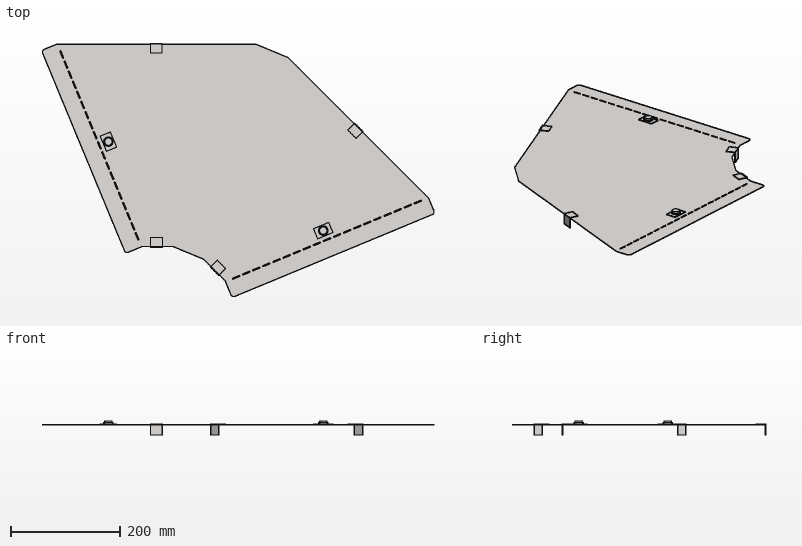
import cadquery as cq
import math

TURN = 22.5
SLOPE = math.tan(math.radians(TURN))

SHEET_THICKNESS = 1.0
END_INNER = 149.0
END_OUTER = 552.0
INNER_FLAT = 34.0
OUTER_FLAT = 30.0
INNER_BEND = 85.0
OUTER_BEND = 367.5
CORNER_RADIUS = 6.0

END_MIDDLE = (END_INNER + END_OUTER) / 2
SLOT_OFFSET = 31.5
SLOT_WIDTH = 1.5
SLOT_LENGTH = 14.0
SLOT_COUNT = 19
SLOT_ROW_SPAN = 360.5

CLIP_THICKNESS = 1.5
CLIP_WIDTH = 21.5
CLIP_FLANGE = 18.0
CLIP_HEIGHT = 21.0
OUTER_CLIP_U = 199.0
INNER_CLIP_U = 57.5

LATCH_OFFSET = 49.5
BASE_WIDTH = 20.0
BASE_LENGTH = 30.0
BASE_THICKNESS = 1.5
KNOB_FLANGE_DIAMETER = 17.0
KNOB_FLANGE_HEIGHT = 2.0
KNOB_TOP_DIAMETER = 14.0
KNOB_TOP_HEIGHT = 3.15


def inner_edge(u):
    """v of the sloping inner edge of the cover."""
    return END_INNER - (u - INNER_FLAT) * SLOPE


def outer_edge(u):
    """v of the sloping outer edge of the cover."""
    return END_OUTER - (u - OUTER_FLAT) * SLOPE


def turned(body, angle):
    return body.rotate((0, 0, 0), (0, 0, 1), angle)


def mirrored(body):
    """Copy of a body reflected in the diagonal u = v."""
    return turned(body.mirror("YZ"), -90)


def make_slot_row():
    pitch = SLOT_ROW_SPAN / (SLOT_COUNT - 1)
    return (
        cq.Workplane("XY")
        .center(SLOT_OFFSET, END_MIDDLE)
        .rarray(SLOT_WIDTH, pitch, 1, SLOT_COUNT)
        .rect(SLOT_WIDTH, SLOT_LENGTH)
        .extrude(-SHEET_THICKNESS)
    )


def make_cover():
    half_outline = [
        (INNER_BEND, inner_edge(INNER_BEND)),
        (INNER_FLAT, END_INNER),
        (0, END_INNER),
        (0, END_OUTER),
        (OUTER_FLAT, END_OUTER),
        (OUTER_BEND, outer_edge(OUTER_BEND)),
    ]
    outline = half_outline + [(v, u) for u, v in reversed(half_outline)]
    sheet = cq.Workplane("XY").polyline(outline).close().extrude(-SHEET_THICKNESS)

    end_corners = [(u, v, 0) for u, v in outline if u == 0 or v == 0]
    for corner in end_corners:
        upright = sheet.edges("|Z").edges(cq.NearestToPointSelector(corner))
        sheet = upright.fillet(CORNER_RADIUS)

    slot_row = make_slot_row()
    for row in (slot_row, mirrored(slot_row)):
        sheet = sheet.cut(row)
    return sheet


def make_clip(u, v, facing):
    """Clip centred at (u, v) on a sloping edge; facing 0 hangs its leg outward, 180 inward."""
    flange_end = CLIP_THICKNESS - CLIP_FLANGE
    leg_end = CLIP_THICKNESS - CLIP_HEIGHT
    profile = [
        (0, 0),
        (flange_end, 0),
        (flange_end, CLIP_THICKNESS),
        (CLIP_THICKNESS, CLIP_THICKNESS),
        (CLIP_THICKNESS, leg_end),
        (0, leg_end),
    ]
    clip = cq.Workplane("YZ").polyline(profile).close().extrude(CLIP_WIDTH / 2, both=True)
    return turned(clip, facing - TURN).translate((u, v, 0))


def make_latch_base():
    return (
        cq.Workplane("XY")
        .center(LATCH_OFFSET, END_MIDDLE)
        .rect(BASE_WIDTH, BASE_LENGTH)
        .extrude(BASE_THICKNESS)
    )


def make_latch_knob():
    flange = (
        cq.Workplane("XY", origin=(LATCH_OFFSET, END_MIDDLE, BASE_THICKNESS))
        .circle(KNOB_FLANGE_DIAMETER / 2)
        .extrude(KNOB_FLANGE_HEIGHT)
    )
    return flange.faces(">Z").workplane().circle(KNOB_TOP_DIAMETER / 2).extrude(KNOB_TOP_HEIGHT)


paired_bodies = [
    make_clip(OUTER_CLIP_U, outer_edge(OUTER_CLIP_U), 0),
    make_clip(INNER_CLIP_U, inner_edge(INNER_CLIP_U), 180),
    make_latch_base(),
    make_latch_knob(),
]

solids = [turned(make_cover(), TURN).val()]
for body in paired_bodies:
    for copy in (body, mirrored(body)):
        solids.append(turned(copy, TURN).val())

result = cq.Compound.makeCompound(solids)